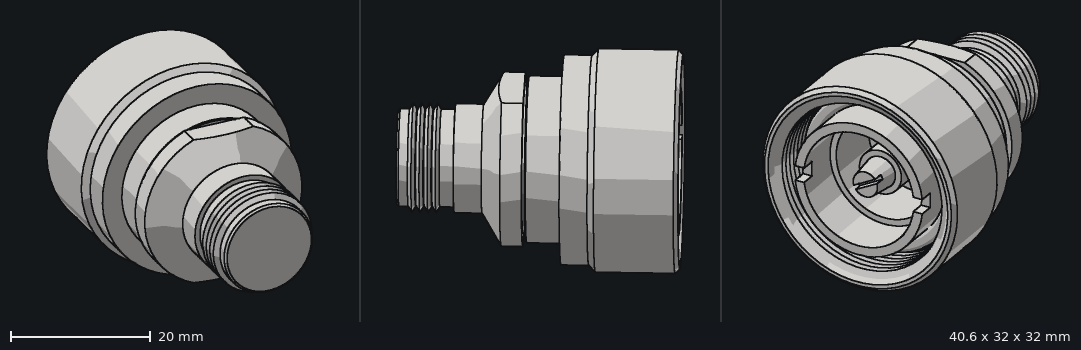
import cadquery as cq


NUT_DIAMETER = 32.0
NUT_RADIUS = NUT_DIAMETER / 2
NUT_FRONT_CHAMFER = 0.65
NUT_GRIP_END = 12.05
NUT_COLLAR_RADIUS = 15.05
NUT_COLLAR_END = 17.0
NUT_SLEEVE_RADIUS = 11.97
NUT_SLEEVE_END = 22.08
NUT_SLEEVE_CHAMFER = 0.15

MOUTH_RADIUS = 14.77
THREAD_ROOT_RADIUS = 14.12
THREAD_CREST_RADIUS = 13.15
MOUTH_DEPTH = 0.65
NUT_THREAD_PITCH = 1.1
NUT_THREAD_TURNS = 6
FLANGE_BACK = 15.0

TUBE_FRONT = 0.25
TUBE_RADIUS = 10.5
TUBE_BORE_RADIUS = 9.05
STEP_DEPTH = 7.85
INNER_BORE_RADIUS = 8.05
BORE_FLOOR = 17.05
SEAL_FRONT = 6.1
SEAL_DEPTH = 1.2
SEAL_RADIUS = 12.65
SEAL_ROUND = 0.75
FLANGE_FRONT = SEAL_FRONT + SEAL_DEPTH
FLANGE_RADIUS = 12.9
NECK_RADIUS = 10.55
KEY_SLOT_WIDTH = 2.3
KEY_SLOT_DEPTH = 2.27

PIN_TIP = 2.15
PIN_TIP_RADIUS = 2.0
PIN_ROOT_RADIUS = 2.48
PIN_SHOULDER = 6.5
PIN_SHOULDER_RADIUS = 3.45
PIN_SLOT_WIDTH = 0.7
PIN_SLOT_DEPTH = 1.45
PIN_SLOT_ANGLE = 28.0

WRENCH_FRONT = 22.5
WRENCH_END = 25.55
WRENCH_RADIUS = 12.5
WRENCH_FLATS = 23.15
CONE_END = 28.35
BARREL_RADIUS = 7.85
BARREL_END = 32.4
TAIL_RADIUS = 7.02
TAIL_CHAMFER = 0.32
LENGTH = 40.6
TAIL_THREAD_START = 34.4
TAIL_THREAD_LENGTH = 4.63
TAIL_THREAD_TURNS = 4
TAIL_THREAD_PITCH = TAIL_THREAD_LENGTH / TAIL_THREAD_TURNS
TAIL_THREAD_FLANK = 0.53


def turned(points):
    """Solid of revolution about X from a closed half section."""
    return cq.Workplane("XZ").polyline(points).close().revolve(360, (0, 0, 0), (1, 0, 0))


def nut_thread_points():
    """V grooves running from crest to root to crest."""
    first_crest = MOUTH_DEPTH + NUT_THREAD_PITCH / 2
    points = [(first_crest, THREAD_CREST_RADIUS)]
    for turn in range(NUT_THREAD_TURNS):
        start = first_crest + turn * NUT_THREAD_PITCH
        points.append((start + NUT_THREAD_PITCH / 2, THREAD_ROOT_RADIUS))
        points.append((start + NUT_THREAD_PITCH, THREAD_CREST_RADIUS))
    return points


def make_nut():
    """Threaded coupling nut, held between the flange and the wrench collar."""
    grip_drop = NUT_RADIUS - NUT_COLLAR_RADIUS
    outside = [
        (0, NUT_RADIUS - NUT_FRONT_CHAMFER),
        (NUT_FRONT_CHAMFER, NUT_RADIUS),
        (NUT_GRIP_END, NUT_RADIUS),
        (NUT_GRIP_END + grip_drop, NUT_COLLAR_RADIUS),
        (NUT_COLLAR_END, NUT_COLLAR_RADIUS),
        (NUT_COLLAR_END, NUT_SLEEVE_RADIUS),
        (NUT_SLEEVE_END - NUT_SLEEVE_CHAMFER, NUT_SLEEVE_RADIUS),
        (NUT_SLEEVE_END, NUT_SLEEVE_RADIUS - NUT_SLEEVE_CHAMFER),
    ]
    inside = [(0, MOUTH_RADIUS), (MOUTH_DEPTH, THREAD_ROOT_RADIUS)]
    inside += nut_thread_points()
    inside += [
        (FLANGE_BACK, THREAD_CREST_RADIUS),
        (FLANGE_BACK, NECK_RADIUS),
        (NUT_SLEEVE_END, NECK_RADIUS),
    ]
    return turned(outside + inside[::-1])


def tail_thread_points():
    """V ridges standing on the tail."""
    points = []
    for turn in range(TAIL_THREAD_TURNS):
        start = TAIL_THREAD_START + turn * TAIL_THREAD_PITCH
        points.append((start, TAIL_RADIUS))
        points.append((start + TAIL_THREAD_FLANK, BARREL_RADIUS))
        points.append((start + 2 * TAIL_THREAD_FLANK, TAIL_RADIUS))
    return points


def make_body_blank():
    """Turned shape from the bore floor out over the tube and back to the tail."""
    mating_end = [
        (BORE_FLOOR, 0),
        (BORE_FLOOR, INNER_BORE_RADIUS),
        (STEP_DEPTH, INNER_BORE_RADIUS),
        (STEP_DEPTH, TUBE_BORE_RADIUS),
        (TUBE_FRONT, TUBE_BORE_RADIUS),
        (TUBE_FRONT, TUBE_RADIUS),
        (FLANGE_FRONT, TUBE_RADIUS),
        (FLANGE_FRONT, FLANGE_RADIUS),
        (FLANGE_BACK, FLANGE_RADIUS),
        (FLANGE_BACK, NECK_RADIUS),
    ]
    rear_end = [
        (WRENCH_FRONT, NECK_RADIUS),
        (WRENCH_FRONT, WRENCH_RADIUS),
        (WRENCH_END, WRENCH_RADIUS),
        (CONE_END, BARREL_RADIUS),
        (BARREL_END, BARREL_RADIUS),
        (BARREL_END, TAIL_RADIUS),
    ]
    rear_end += tail_thread_points()
    rear_end += [
        (LENGTH - TAIL_CHAMFER, TAIL_RADIUS),
        (LENGTH, TAIL_RADIUS - TAIL_CHAMFER),
        (LENGTH, 0),
    ]
    return turned(mating_end + rear_end)


def make_seal_ring():
    """Round-edged sealing ring in front of the flange."""
    ring = turned([
        (SEAL_FRONT, TUBE_RADIUS),
        (SEAL_FRONT, SEAL_RADIUS),
        (FLANGE_FRONT, SEAL_RADIUS),
        (FLANGE_FRONT, TUBE_RADIUS),
    ])
    return ring.faces("<X").edges().fillet(SEAL_ROUND)


def make_pin():
    """Tapered centre pin on its shoulder, with a screwdriver slot across the tip."""
    pin = turned([
        (PIN_TIP, 0),
        (PIN_TIP, PIN_TIP_RADIUS),
        (PIN_SHOULDER, PIN_ROOT_RADIUS),
        (PIN_SHOULDER, PIN_SHOULDER_RADIUS),
        (BORE_FLOOR, PIN_SHOULDER_RADIUS),
        (BORE_FLOOR, 0),
    ])
    slot = (
        cq.Workplane("XY")
        .box(PIN_SLOT_DEPTH, 2 * PIN_ROOT_RADIUS, PIN_SLOT_WIDTH, centered=(False, True, True))
        .rotate((0, 0, 0), (1, 0, 0), -PIN_SLOT_ANGLE)
        .translate((PIN_TIP, 0, 0))
    )
    return pin.cut(slot)


def make_key_slots():
    """One bar across the tube mouth cuts both key slots."""
    return (
        cq.Workplane("XY")
        .box(KEY_SLOT_DEPTH, 2 * FLANGE_RADIUS, KEY_SLOT_WIDTH, centered=(False, True, True))
        .translate((TUBE_FRONT, 0, 0))
    )


def make_wrench_flats():
    """Blocks that trim the wrench collar flat at top and bottom."""
    side = 2 * WRENCH_RADIUS
    block = cq.Workplane("XY").box(CONE_END - WRENCH_FRONT, side, side, centered=(False, True, False))
    top = block.translate((WRENCH_FRONT, 0, WRENCH_FLATS / 2))
    return top.union(top.mirror("XY"))


def make_body():
    """Whole connector body; the nut turns on its neck."""
    shell = make_body_blank().cut(make_key_slots()).cut(make_wrench_flats())
    return shell.union(make_seal_ring()).union(make_pin())


nut = make_nut()
body = make_body()
result = cq.Compound.makeCompound([nut.val(), body.val()])